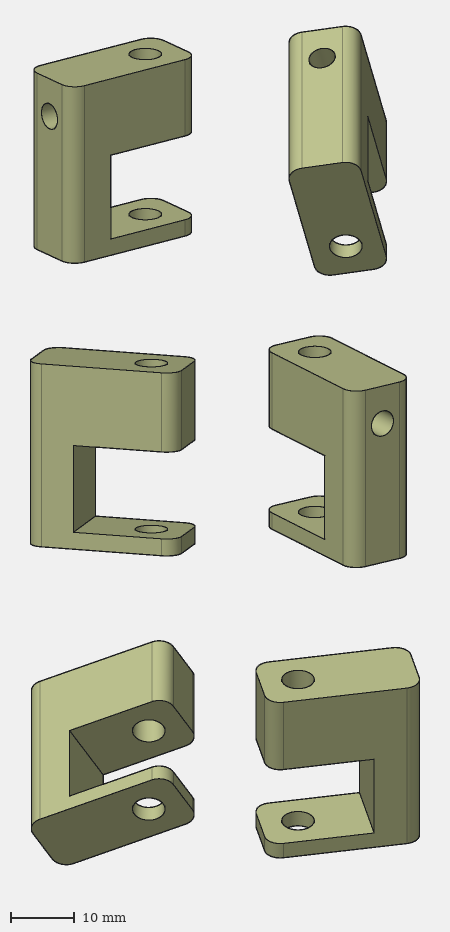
import cadquery as cq

width = 11.5
depth = 24.75
height = 29.5
corner_radius = 2.5

lower_arm_thickness = 2.75
upper_arm_thickness = 12.77
opening_depth = 17.02
opening_height = height - lower_arm_thickness - upper_arm_thickness

pin_hole_diameter = 5.1
pin_hole_from_back = 6.02
pin_hole_y = depth / 2 - pin_hole_from_back

cross_hole_diameter = 4.2
cross_hole_from_top = 6.25
cross_hole_z = height - cross_hole_from_top
cross_hole_depth = depth / 2 + pin_hole_y


def rounded_block():
    block = cq.Workplane("XY").box(width, depth, height, centered=(True, True, False))
    return block.edges("|Z").fillet(corner_radius)


def side_opening():
    return (
        cq.Workplane("XY")
        .box(width, opening_depth, opening_height, centered=(True, False, False))
        .translate((0, depth / 2 - opening_depth, lower_arm_thickness))
    )


def pin_hole():
    return cq.Workplane("XY").center(0, pin_hole_y).circle(pin_hole_diameter / 2).extrude(height)


def cross_hole():
    return (
        cq.Workplane("XZ", origin=(0, -depth / 2, cross_hole_z))
        .circle(cross_hole_diameter / 2)
        .extrude(-cross_hole_depth)
    )


result = rounded_block().cut(side_opening()).cut(pin_hole()).cut(cross_hole())